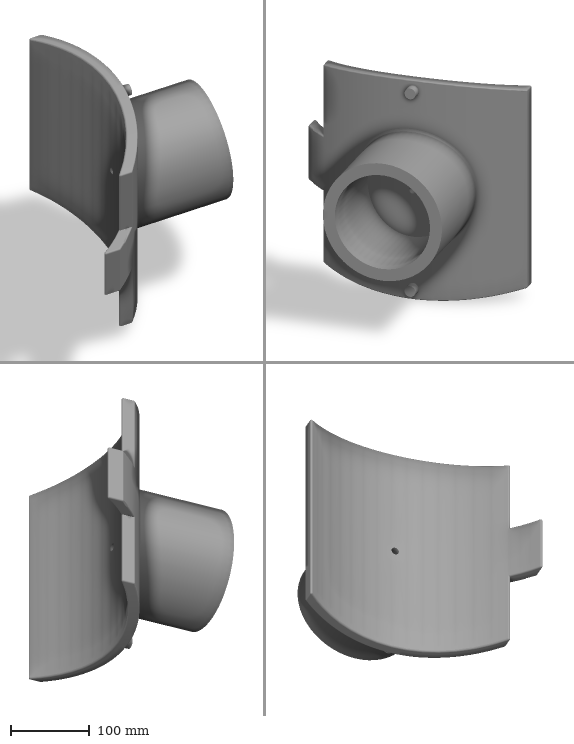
import cadquery as cq

outer_radius = 215.0
plate_thickness = 15.0
inner_radius = outer_radius - plate_thickness
plate_half_width = 137.2
plate_height = 299.8
plate_side_height = 270.8
edge_fillet = 1.98

tab_end_x = 167.8
tab_height = 75.0

tube_diameter = 160.0
tube_bore = 128.0
tube_end_y = 119.0
root_fillet = 3.0

pin_root_diameter = 16.0
pin_tip_diameter = 14.5
pin_spacing = 270.2
pin_height = 10.7
hole_diameter = 10.0


def rod(diameter, start_y, end_y):
    """Cylinder along +Y between two Y positions."""
    plane = cq.Workplane("XZ", origin=(0, start_y, 0))
    return plane.circle(diameter / 2).extrude(start_y - end_y)


def upright_cylinder(radius):
    """Cylinder about the plate's axis of curvature."""
    base = cq.Workplane("XY", origin=(0, -outer_radius, -plate_height))
    return base.circle(radius).extrude(2 * plate_height)


def front_outline():
    """Plate with bowed top and bottom edges, joined to the tab, as a block."""
    side_z = plate_side_height / 2
    crown_z = plate_height / 2
    plate = (
        cq.Workplane("XZ")
        .moveTo(-plate_half_width, -side_z)
        .threePointArc((0, -crown_z), (plate_half_width, -side_z))
        .lineTo(plate_half_width, side_z)
        .threePointArc((0, crown_z), (-plate_half_width, side_z))
        .close()
        .extrude(outer_radius)
    )
    tab = cq.Workplane("XY").box(
        tab_end_x, outer_radius, tab_height, centered=(False, False, True)
    )
    return plate.union(tab.translate((0, -outer_radius, 0)))


def curved_plate():
    shell = upright_cylinder(outer_radius).cut(upright_cylinder(inner_radius))
    plate = shell.intersect(front_outline())
    inside_corners = cq.selectors.BoxSelector(
        (plate_half_width - edge_fillet, -outer_radius, -tab_height),
        (plate_half_width + edge_fillet, 0, tab_height),
    )
    rounded_edges = cq.selectors.InverseSelector(inside_corners)
    return plate.edges(rounded_edges).fillet(edge_fillet)


def add_tube(plate):
    """Solid tube blank with a rounded root where it meets the plate."""
    tube = rod(tube_diameter, -outer_radius / 2, tube_end_y)
    tube = tube.cut(upright_cylinder(inner_radius + plate_thickness / 2))
    body = plate.union(tube)
    root_limit = tube_diameter / 2 + root_fillet
    root_zone = cq.selectors.BoxSelector(
        (-root_limit, -outer_radius, -root_limit),
        (root_limit, tube_end_y / 2, root_limit),
    )
    return body.edges(root_zone).fillet(root_fillet)


def add_pins(body):
    """One tapered pin above and one below the tube, standing on the crown line."""
    embed = plate_thickness / 2
    pin = (
        cq.Workplane("XZ")
        .circle(pin_root_diameter / 2)
        .workplane(offset=-pin_height)
        .circle(pin_tip_diameter / 2)
        .loft()
        .union(rod(pin_root_diameter, -embed, 0))
    )
    for pin_z in (-pin_spacing / 2, pin_spacing / 2):
        body = body.union(pin.translate((0, 0, pin_z)))
    return body


def cut_bore_and_hole(body):
    """Bore the tube down to the plate, then drill the plate at its centre."""
    bore = rod(tube_bore, -outer_radius / 2, tube_end_y).cut(upright_cylinder(outer_radius))
    hole = rod(hole_diameter, -outer_radius / 2, tube_end_y)
    return body.cut(bore).cut(hole)


result = cut_bore_and_hole(add_pins(add_tube(curved_plate())))